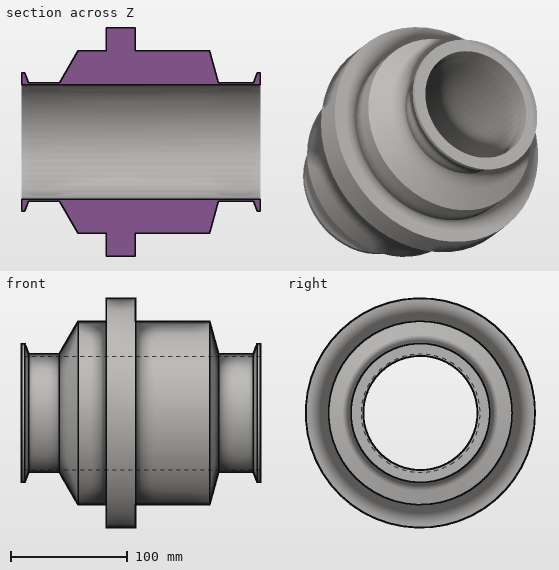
import cadquery as cq

length = 205.0
bore_diameter = 97.5
tube_diameter = 101.7
ferrule_diameter = 119.0
body_diameter = 157.0
collar_diameter = 196.5

rim_width = 3.0
taper_width = 3.3

inlet_cone_start = 32.5
inlet_cone_end = 48.5
collar_start = 72.5
collar_width = 25.5
outlet_cone_start = 161.3
outlet_cone_end = 169.0


def cylinder(diameter, start, end):
    """Solid cylinder along X between two axial positions."""
    return cq.Workplane("YZ", origin=(start, 0, 0)).circle(diameter / 2).extrude(end - start)


def revolved_body():
    """Tube, ferrules and conical housing as one solid of revolution."""
    tube_radius = tube_diameter / 2
    ferrule_radius = ferrule_diameter / 2
    body_radius = body_diameter / 2
    ferrule_width = rim_width + taper_width
    profile = [
        (0, 0),
        (0, ferrule_radius),
        (rim_width, ferrule_radius),
        (ferrule_width, tube_radius),
        (inlet_cone_start, tube_radius),
        (inlet_cone_end, body_radius),
        (outlet_cone_start, body_radius),
        (outlet_cone_end, tube_radius),
        (length - ferrule_width, tube_radius),
        (length - rim_width, ferrule_radius),
        (length, ferrule_radius),
        (length, 0),
    ]
    return cq.Workplane("XY").polyline(profile).close().revolve(360, (0, 0, 0), (1, 0, 0))


collar = cylinder(collar_diameter, collar_start, collar_start + collar_width)
bore = cylinder(bore_diameter, 0, length)

result = revolved_body().union(collar).cut(bore).translate((-length / 2, 0, 0))